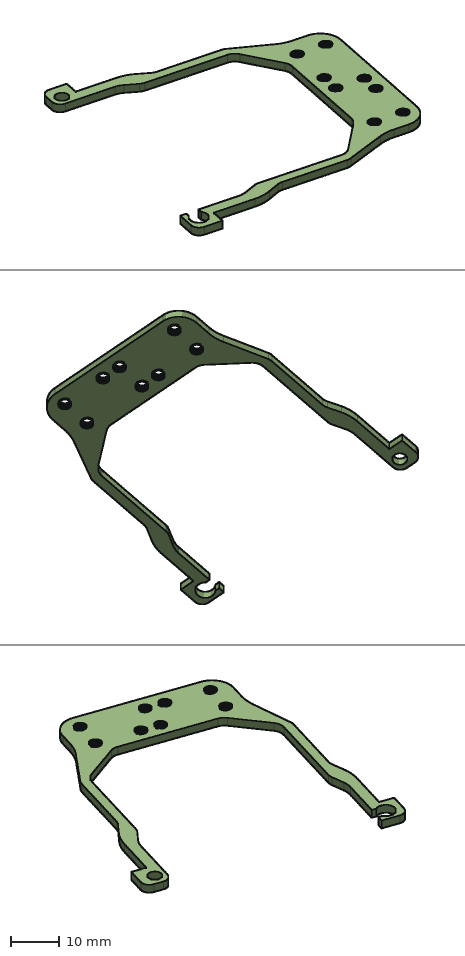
import cadquery as cq

thickness = 2.0
overall_width = 61.55
overall_length = 63.9

plate_half_width = 20.0
plate_depth = 14.0
plate_corner_radius = 5.0

upper_arm_outer = 24.8
upper_arm_inner = 22.5
lower_arm_outer = 27.25
lower_arm_inner = 24.5

flank_end = 10.7
shoulder_end = 22.65
outer_jog_start = 39.7
outer_jog_end = 45.15
inner_jog_start = 44.0
inner_jog_end = 48.5
gusset_half_width = 12.75
gusset_end = 21.7

flank_radius = 10.0
shoulder_radius = 2.5
gusset_radius = 3.0
jog_tight_radius = 3.0
outer_jog_radius = 10.0
inner_jog_radius = 5.0

foot_half_width = overall_width / 2
foot_start = 57.4
left_foot_end = 63.7
foot_corner_radius = 2.0
pivot_offset = 27.05
pivot_distance = 60.9
pivot_hole_diameter = 3.1
snap_hole_diameter = 4.2
snap_slot_width = 3.0

thread_minor_diameter = 2.5
thread_major_diameter = 3.0
thread_pitch = 0.5
thread_fill = 0.9
thread_overlap = 0.05
mount_spread = 15.25
mount_pitch = 4.6
back_row = 3.5
front_row = 10.5


pick_margin = 0.1


def round_corner(body, x, distance, radius):
    """Fillet the vertical edge at the given X and distance from the back edge."""
    corner = cq.selectors.BoxSelector(
        (x - pick_margin, -distance - pick_margin, -pick_margin),
        (x + pick_margin, -distance + pick_margin, thickness + pick_margin),
    )
    return body.edges("|Z").edges(corner).fillet(radius)


def frame():
    """Plate, arms and feet; each corner is (X, distance from the back edge, fillet radius or None)."""
    outer = [
        (plate_half_width, 0, plate_corner_radius),
        (plate_half_width, flank_end, flank_radius),
        (upper_arm_outer, shoulder_end, shoulder_radius),
        (upper_arm_outer, outer_jog_start, jog_tight_radius),
        (lower_arm_outer, outer_jog_end, outer_jog_radius),
        (lower_arm_outer, foot_start, None),
        (foot_half_width, foot_start, None),
    ]
    inner = [
        (lower_arm_inner, inner_jog_end, inner_jog_radius),
        (upper_arm_inner, inner_jog_start, jog_tight_radius),
        (upper_arm_inner, gusset_end, gusset_radius),
        (gusset_half_width, plate_depth, gusset_radius),
    ]

    def side(sign, foot_end, inner_foot_radius):
        foot = [
            (foot_half_width, foot_end, foot_corner_radius),
            (lower_arm_inner, foot_end, inner_foot_radius),
        ]
        return [(sign * x, distance, radius) for x, distance, radius in outer + foot + inner]

    right = side(1, overall_length, None)
    left = side(-1, left_foot_end, foot_corner_radius)
    corners = right + left[::-1]
    points = [(x, -distance) for x, distance, _ in corners]
    body = cq.Workplane("XY").polyline(points).close().extrude(thickness)
    for x, distance, radius in corners:
        if radius:
            body = round_corner(body, x, distance, radius)
    return body


def round_cutter(places, diameter):
    return cq.Workplane("XY").pushPoints(places).circle(diameter / 2).extrude(thickness)


def thread_groove():
    """Helical V groove that runs out past both faces of the plate."""
    root_radius = thread_minor_diameter / 2 - thread_overlap
    half_base = thread_pitch * thread_fill / 2
    path = cq.Wire.makeHelix(thread_pitch, thickness + 2 * thread_pitch, root_radius)
    profile = [
        (root_radius, -half_base),
        (thread_major_diameter / 2, 0),
        (root_radius, half_base),
    ]
    groove = cq.Workplane("XZ").polyline(profile).close().sweep(cq.Workplane(obj=path), isFrenet=True)
    return groove.translate((0, 0, -thread_pitch))


def mount_places():
    places = [(0, -back_row), (mount_pitch, -back_row), (0, -front_row), (-mount_pitch, -front_row)]
    for x in (-mount_spread, mount_spread):
        for row in (back_row, front_row):
            places.append((x, -row))
    return places


def snap_socket():
    """Round socket in the right foot, open toward the centre line."""
    socket = round_cutter([(pivot_offset, -pivot_distance)], snap_hole_diameter)
    mouth = (
        cq.Workplane("XY")
        .center(pivot_offset / 2, -pivot_distance)
        .rect(pivot_offset, snap_slot_width)
        .extrude(thickness)
    )
    return socket.union(mouth)


def tap_mount_holes(body):
    groove = thread_groove()
    places = mount_places()
    for x, y in places:
        body = body.cut(groove.translate((x, y, 0)))
    return body.cut(round_cutter(places, thread_minor_diameter))


pivot_hole = round_cutter([(-pivot_offset, -pivot_distance)], pivot_hole_diameter)

result = tap_mount_holes(frame().cut(pivot_hole).cut(snap_socket()))